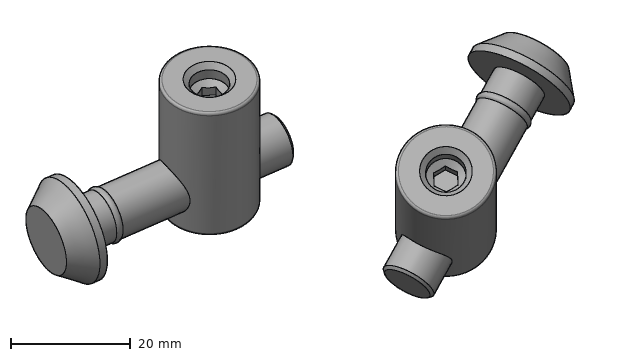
import cadquery as cq
import math


barrel_diameter = 16.9
barrel_height = 27.9
barrel_bottom = -7.4
barrel_edge_radius = 0.5
barrel_top = barrel_bottom + barrel_height

bore_diameter = 6.8
countersink_diameter = 8.8
countersink_depth = (countersink_diameter - bore_diameter) / 2
bore_depth = 3.0
hexagon_across_flats = 4.0
hexagon_across_corners = hexagon_across_flats / math.cos(math.pi / 6)
seat_angle = 30.0
seat_depth = (bore_diameter - hexagon_across_flats) / 2 * math.tan(math.radians(seat_angle))
hexagon_depth = 2.5

shank_diameter = 9.6
shank_end = 14.0
shank_end_chamfer = 0.5
bolt_length = 46.5
head_diameter = 19.3
head_face_diameter = 12.6
head_length = 6.0
head_rim_length = 1.5
head_face = shank_end - bolt_length
head_back = head_face + head_length

bead_diameter = 10.2
bead_width = 1.27
bead_distance = 5.6


def make_barrel():
    barrel = (
        cq.Workplane("XY", origin=(0, 0, barrel_bottom))
        .circle(barrel_diameter / 2)
        .extrude(barrel_height)
        .edges()
        .fillet(barrel_edge_radius)
    )
    cross_hole = cq.Workplane("XZ").circle(shank_diameter / 2).extrude(barrel_diameter, both=True)
    return barrel.cut(cross_hole).cut(make_screw_bore()).cut(make_hexagon_socket())


def make_screw_bore():
    """Countersunk bore with a conical seat, as a half section (radius, Z) turned about Z."""
    seat_rim = barrel_top - bore_depth
    return (
        cq.Workplane("XZ")
        .moveTo(0, barrel_top)
        .lineTo(countersink_diameter / 2, barrel_top)
        .lineTo(bore_diameter / 2, barrel_top - countersink_depth)
        .lineTo(bore_diameter / 2, seat_rim)
        .lineTo(hexagon_across_flats / 2, seat_rim - seat_depth)
        .lineTo(0, seat_rim - seat_depth)
        .close()
        .revolve(360, (0, 0), (0, 1))
    )


def make_hexagon_socket():
    return (
        cq.Workplane("XY", origin=(0, 0, barrel_top - bore_depth))
        .polygon(6, hexagon_across_corners)
        .extrude(-hexagon_depth)
    )


def make_bolt():
    """Half section (radius, Y) turned about Y, from the head face to the shank end."""
    shank_radius = shank_diameter / 2
    bead_middle = head_back + bead_distance
    return (
        cq.Workplane("XY")
        .moveTo(0, head_face)
        .lineTo(head_face_diameter / 2, head_face)
        .lineTo(head_diameter / 2, head_back - head_rim_length)
        .lineTo(head_diameter / 2, head_back)
        .lineTo(shank_radius, head_back)
        .lineTo(shank_radius, bead_middle - bead_width / 2)
        .threePointArc((bead_diameter / 2, bead_middle), (shank_radius, bead_middle + bead_width / 2))
        .lineTo(shank_radius, shank_end - shank_end_chamfer)
        .lineTo(shank_radius - shank_end_chamfer, shank_end)
        .lineTo(0, shank_end)
        .close()
        .revolve(360, (0, 0), (0, 1))
    )


barrel = make_barrel()
bolt = make_bolt()

result = cq.Compound.makeCompound([barrel.val(), bolt.val()])